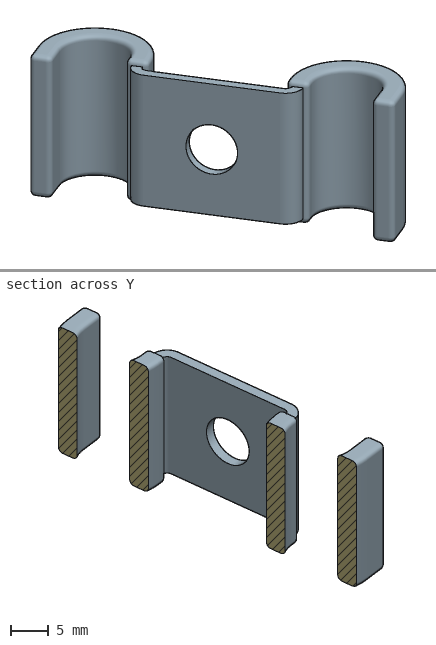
import cadquery as cq
import math

strap_width = 19.05
strap_thickness = 1.524
coating_thickness = 0.762
tube_radius = 4.7875
hook_spacing = 34.9
outer_leg_length = 3.975
inner_leg_length = 2 * coating_thickness
bend_inner_radius = 0.9
hole_diameter = 7.14

hook_thickness = strap_thickness + 2 * coating_thickness
hook_outer_radius = tube_radius + hook_thickness
hook_height = strap_width + 2 * coating_thickness
hook_x = hook_spacing / 2
bend_outer_radius = bend_inner_radius + strap_thickness

plate_front_y = -outer_leg_length
plate_back_y = plate_front_y + strap_thickness
bend_center_y = plate_front_y + bend_outer_radius
strap_inner_x = hook_x - hook_outer_radius + coating_thickness
strap_outer_x = strap_inner_x + strap_thickness
bend_center_x = strap_inner_x - bend_inner_radius


def arc_point(center_x, center_y, radius):
    """Midpoint of the quarter arc in the +X, -Y quadrant."""
    offset = radius * math.sqrt(0.5)
    return (center_x + offset, center_y - offset)


def make_right_hook():
    """Coated J-shaped hook on the +X side, rounded on every sharp edge."""
    outer_x = hook_x + hook_outer_radius
    inner_x = hook_x - hook_outer_radius
    hook = (
        cq.Workplane("XY")
        .workplane(offset=-hook_height / 2)
        .moveTo(outer_x, -outer_leg_length)
        .lineTo(outer_x, 0)
        .threePointArc((hook_x, hook_outer_radius), (inner_x, 0))
        .lineTo(inner_x, -inner_leg_length)
        .lineTo(inner_x + hook_thickness, -inner_leg_length)
        .lineTo(inner_x + hook_thickness, 0)
        .threePointArc((hook_x, tube_radius), (outer_x - hook_thickness, 0))
        .lineTo(outer_x - hook_thickness, -outer_leg_length)
        .close()
        .extrude(hook_height)
    )
    sharp_edges = hook.faces("|Z or -Y").edges()
    return sharp_edges.fillet(coating_thickness)


def make_strap():
    """Bare strap: flat plate bent up at both ends to enter the inner hook legs."""
    right_half = (
        cq.Workplane("XY")
        .workplane(offset=-strap_width / 2)
        .moveTo(0, plate_front_y)
        .lineTo(bend_center_x, plate_front_y)
        .threePointArc(
            arc_point(bend_center_x, bend_center_y, bend_outer_radius),
            (strap_outer_x, bend_center_y),
        )
        .lineTo(strap_outer_x, 0)
        .lineTo(strap_inner_x, 0)
        .lineTo(strap_inner_x, bend_center_y)
        .threePointArc(
            arc_point(bend_center_x, bend_center_y, bend_inner_radius),
            (bend_center_x, plate_back_y),
        )
        .lineTo(0, plate_back_y)
        .close()
        .extrude(strap_width)
    )
    return right_half.union(right_half.mirror("YZ"))


def make_screw_hole():
    """Cylinder for the round hole through the middle of the plate."""
    return (
        cq.Workplane("XZ", origin=(0, plate_back_y, 0))
        .circle(hole_diameter / 2)
        .extrude(strap_thickness)
    )


right_hook = make_right_hook()
left_hook = right_hook.mirror("YZ")
strap = make_strap().cut(make_screw_hole())
result = strap.union(right_hook).union(left_hook).clean()